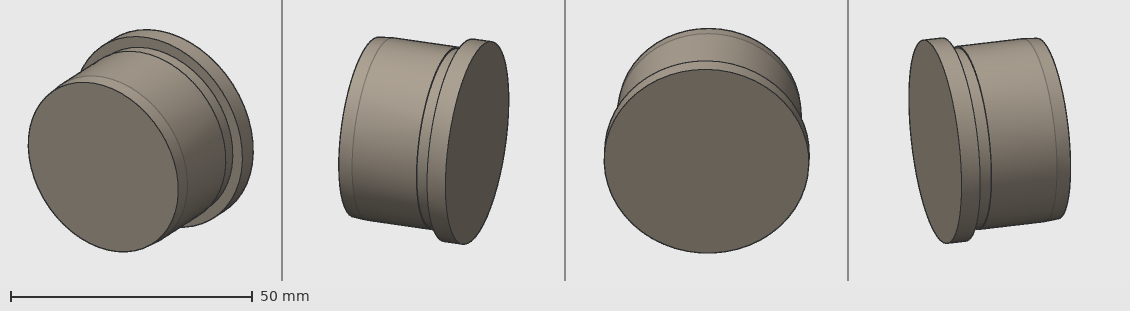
import cadquery as cq

total_length = 24.0
flange_diameter = 42.4
flange_thickness = 4.0
neck_diameter = 37.6
neck_length = 3.0
body_diameter = 38.2
lead_in_length = 3.0
tip_diameter = 37.7

flange_front = total_length - flange_thickness
neck_front = flange_front - neck_length


def make_plug():
    """Revolve the half profile of the solid stepped plug about the Y axis."""
    profile = (
        cq.Workplane("YZ")
        .moveTo(0, 0)
        .lineTo(0, tip_diameter / 2)
        .lineTo(lead_in_length, body_diameter / 2)
        .lineTo(neck_front, body_diameter / 2)
        .lineTo(neck_front, neck_diameter / 2)
        .lineTo(flange_front, neck_diameter / 2)
        .lineTo(flange_front, flange_diameter / 2)
        .lineTo(total_length, flange_diameter / 2)
        .lineTo(total_length, 0)
        .close()
    )
    return profile.revolve(360, (0, 0, 0), (1, 0, 0))


result = make_plug()